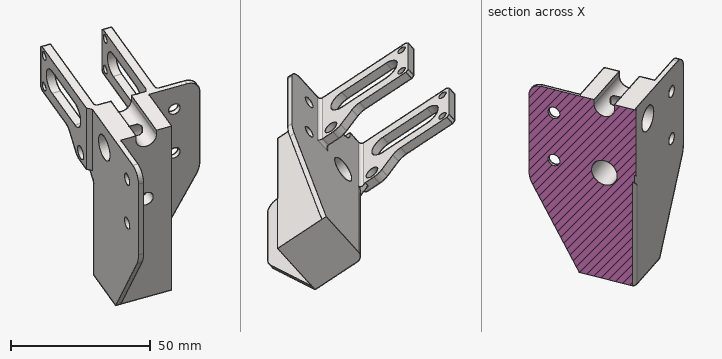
import cadquery as cq


height = 75
plate_reach = 42
plate_thickness = 2
block_reach = 22
top_corner_radius = 5
taper_top_depth = 40
taper_blend_radius = 10
corner_radius = 3

mount_hole_diameter = 4.5
mount_hole_offset = 32
mount_hole_depths = (10, 30)

bore_offset = 12
groove_radius = 4
groove_axis_depth = 2
screw_hole_diameter = 5.5
counterbore_diameter = 10
counterbore_floor = 5
front_bore_depth = 10
side_bore_depth = 30

arm_thickness = 3.4
arm_spacing = 24
arm_tip_x = -40
arm_height = 20
arm_root_height = 28
arm_slope_start_x = -16
arm_blend_radius = 5
arm_tip_chamfer = 1
arm_root_fillet = 1.3
slot_length = 30
slot_width = 10
slot_center_x = -20
slot_center_depth = 10
pin_hole_diameter = 3.2
pin_hole_x = -37
pin_hole_depths = (3, 17)
pivot_hole_diameter = 5.2
pivot_hole_x = -5
pivot_hole_depth = 24

gusset_overhang = 2

arm_half = arm_thickness / 2
selection_margin = 0.1


def prism_y(outline, y_start, y_end):
    """Solid from an XZ polygon, between two Y values."""
    return cq.Workplane("XZ", origin=(0, y_start, 0)).polyline(outline).close().extrude(y_start - y_end)


def cylinder_y(x, z, diameter, y_start, y_end):
    """Cylinder along Y."""
    return cq.Workplane("XZ", origin=(x, y_start, z)).circle(diameter / 2).extrude(y_start - y_end)


def cylinder_x(y, z, diameter, x_end):
    """Cylinder along X, from the outer face of the side wall."""
    return cq.Workplane("YZ", origin=(0, y, z)).circle(diameter / 2).extrude(x_end)


def gusset_underside(x):
    """Height of the 45 degree underside of the gusset."""
    return -arm_root_height - gusset_overhang - x


def make_front_plate():
    """Plate with a rounded top corner, a tapered foot and mounting holes."""
    outline = [
        (0, 0),
        (plate_reach, 0),
        (plate_reach, -taper_top_depth),
        (block_reach, -height),
        (0, -height),
    ]
    plate = prism_y(outline, 0, plate_thickness)
    plate = plate.faces(">X").edges(">Z").fillet(top_corner_radius)
    plate = plate.faces(">X").edges("<Z").fillet(taper_blend_radius)
    for depth in mount_hole_depths:
        plate = plate.cut(cylinder_y(mount_hole_offset, -depth, mount_hole_diameter, 0, plate_thickness))
    return plate


def make_side_wall():
    """The front plate turned a quarter turn, so that it runs along Y."""
    turned = make_front_plate().rotate((0, 0, 0), (0, 0, 1), 90)
    return turned.translate((plate_thickness, 0, 0))


def make_block():
    """Block between the plates, flush with their top and foot."""
    size = block_reach - plate_thickness
    corner = cq.Workplane("XY", origin=(plate_thickness, plate_thickness, -height))
    return corner.box(size, size, height, centered=False)


def make_arm(center_y):
    """Arm that widens towards its root, without its openings."""
    slope_end_x = arm_slope_start_x + arm_root_height - arm_height
    slope_start = (arm_slope_start_x, -arm_height)
    slope_end = (slope_end_x, -arm_root_height)
    outline = [
        (arm_tip_x, 0),
        (0, 0),
        (0, -arm_root_height),
        slope_end,
        slope_start,
        (arm_tip_x, -arm_height),
    ]
    arm = prism_y(outline, center_y - arm_half, center_y + arm_half)
    arm = arm.faces("<X").edges("|Y").chamfer(arm_tip_chamfer)
    for x, z in (slope_start, slope_end):
        bend = cq.selectors.NearestToPointSelector((x, center_y, z))
        arm = arm.edges("|Y").edges(bend).fillet(arm_blend_radius)
    return arm


def make_wall_with_back_arm():
    """Side wall and back arm, filleted along both sides and the bottom of the arm root."""
    wall = make_side_wall().union(make_arm(arm_spacing))
    root_edges = cq.selectors.BoxSelector(
        (-selection_margin, arm_spacing - arm_thickness, -arm_root_height - selection_margin),
        (selection_margin, arm_spacing + arm_thickness, -selection_margin),
    )
    return wall.edges(root_edges).fillet(arm_root_fillet)


def round_lower_corner(body):
    """Round the outer corner of the two plates below the plane of the gusset underside."""
    outline = [
        (0, gusset_underside(0)),
        (corner_radius, gusset_underside(corner_radius)),
        (corner_radius, -height),
        (0, -height),
    ]
    rounded_core = (
        cq.Workplane("XY", origin=(corner_radius, corner_radius, 0)).circle(corner_radius).extrude(-height)
    )
    return body.cut(prism_y(outline, 0, corner_radius).cut(rounded_core))


def make_gusset():
    """Triangular web between the front arm and the side wall."""
    outline = [
        (-gusset_overhang, -arm_root_height),
        (0, -arm_root_height),
        (0, gusset_underside(0)),
    ]
    return prism_y(outline, 0, arm_half)


def make_front_root_fillet():
    """Fillet between the side wall and the inner face of the front arm and gusset."""
    fillet_x = -arm_root_fillet
    fillet_end_y = arm_half + arm_root_fillet
    outline = [
        (0, 0),
        (0, gusset_underside(0)),
        (fillet_x, gusset_underside(fillet_x)),
        (fillet_x, 0),
    ]
    hollow = cq.Workplane("XY", origin=(fillet_x, fillet_end_y, 0)).circle(arm_root_fillet).extrude(-height)
    return prism_y(outline, arm_half, fillet_end_y).cut(hollow)


def make_front_root_ramp():
    """45 degree ramp from the outer face of the front arm down to the front plate."""
    outline = [(0, 0), (0, -arm_half), (arm_half, 0)]
    return cq.Workplane("XY").polyline(outline).close().extrude(-arm_root_height)


def cut_arm_openings(body):
    """Slot, pin holes and pivot hole through both arms."""
    y_start = -arm_half
    y_end = arm_spacing + arm_half
    slot = (
        cq.Workplane("XZ", origin=(slot_center_x, y_start, -slot_center_depth))
        .slot2D(slot_length, slot_width)
        .extrude(y_start - y_end)
    )
    body = body.cut(slot)
    for depth in pin_hole_depths:
        body = body.cut(cylinder_y(pin_hole_x, -depth, pin_hole_diameter, y_start, y_end))
    return body.cut(cylinder_y(pivot_hole_x, -pivot_hole_depth, pivot_hole_diameter, y_start, y_end))


def cut_groove(body):
    """Round-bottomed groove along X, open at the top."""
    width = 2 * groove_radius
    round_bottom = cylinder_x(bore_offset, -groove_axis_depth, width, block_reach)
    mouth_corner = cq.Workplane("XY", origin=(0, bore_offset - groove_radius, -groove_axis_depth))
    mouth = mouth_corner.box(block_reach, width, groove_axis_depth, centered=False)
    return body.cut(round_bottom).cut(mouth)


def cut_screw_holes(body):
    """Counterbored holes through the block, one from the front plate and one from the side wall."""
    counterbore_end = block_reach - counterbore_floor
    for diameter, end in ((screw_hole_diameter, block_reach), (counterbore_diameter, counterbore_end)):
        body = body.cut(cylinder_y(bore_offset, -front_bore_depth, diameter, 0, end))
        body = body.cut(cylinder_x(bore_offset, -side_bore_depth, diameter, end))
    return body


body = make_wall_with_back_arm().union(make_front_plate()).union(make_block())
body = round_lower_corner(body)
body = body.union(make_arm(0)).union(make_gusset())
body = body.union(make_front_root_fillet()).union(make_front_root_ramp())
body = cut_arm_openings(body)
body = cut_groove(body)
result = cut_screw_holes(body)